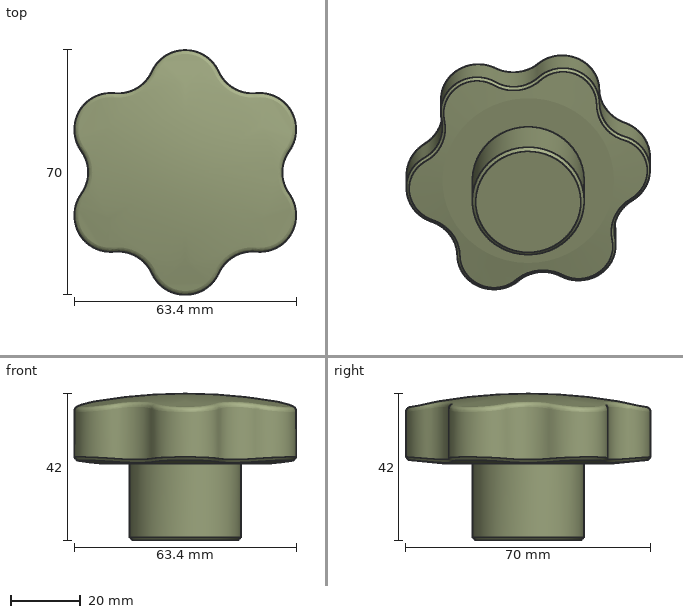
import cadquery as cq
import math

lobe_count = 6
tip_radius = 35.0
lobe_radius = 10.5
valley_radius = 10.5
total_height = 42.0
head_height = 20.0
dome_radius = 150.0
under_flat_radius = 24.5
under_rise = 1.05
top_fillet = 1.5
bottom_chamfer = 0.85
stem_diameter = 32.0
stem_chamfer = 1.0

stem_length = total_height - head_height
lobe_centre = tip_radius - lobe_radius
half_pitch = math.pi / lobe_count
centre_gap = lobe_radius + valley_radius
valley_centre = lobe_centre * math.cos(half_pitch) + math.sqrt(
    centre_gap**2 - (lobe_centre * math.sin(half_pitch)) ** 2
)
valley_floor = valley_centre - valley_radius


def polar(radius, angle):
    return (radius * math.cos(angle), radius * math.sin(angle))


def tangent_point(lobe_angle, valley_angle):
    """Point where a lobe arc meets the neighbouring valley arc."""
    lobe = polar(lobe_centre, lobe_angle)
    valley = polar(valley_centre, valley_angle)
    share = lobe_radius / centre_gap
    return tuple(a + (b - a) * share for a, b in zip(lobe, valley))


def make_lobed_prism():
    """Six-lobed outline with one lobe pointing along +Y."""
    first_lobe = math.pi / 2
    outline = cq.Workplane("XY", origin=(0, 0, stem_length)).moveTo(
        *tangent_point(first_lobe, first_lobe - half_pitch)
    )
    for i in range(lobe_count):
        lobe = first_lobe + 2 * half_pitch * i
        valley = lobe + half_pitch
        next_lobe = valley + half_pitch
        outline = outline.threePointArc(polar(tip_radius, lobe), tangent_point(lobe, valley))
        outline = outline.threePointArc(polar(valley_floor, valley), tangent_point(next_lobe, valley))
    return outline.close().extrude(head_height)


def make_head_envelope():
    """Round body with a domed top and a slightly conical underside."""
    outer = tip_radius + lobe_radius
    under_slope = under_rise / (tip_radius - under_flat_radius)
    under_edge = stem_length + under_slope * (outer - under_flat_radius)

    def dome_height(radius):
        return total_height - dome_radius + math.sqrt(dome_radius**2 - radius**2)

    return (
        cq.Workplane("XZ")
        .moveTo(0, stem_length)
        .lineTo(under_flat_radius, stem_length)
        .lineTo(outer, under_edge)
        .lineTo(outer, dome_height(outer))
        .threePointArc((outer / 2, dome_height(outer / 2)), (0, total_height))
        .close()
        .revolve(360, (0, 0), (0, 1))
    )


def make_head():
    """Lobed head with a rounded upper rim and a chamfered lower rim."""
    head = make_lobed_prism().intersect(make_head_envelope())
    head = head.faces(">Z").edges().fillet(top_fillet)
    underside = head.faces("%CONE")
    return underside.edges("not %CIRCLE").chamfer(bottom_chamfer)


def make_stem():
    """Plain cylindrical stem, chamfered at its lower end."""
    stem = cq.Workplane("XY").circle(stem_diameter / 2).extrude(stem_length)
    return stem.faces("<Z").chamfer(stem_chamfer)


result = make_head().union(make_stem())